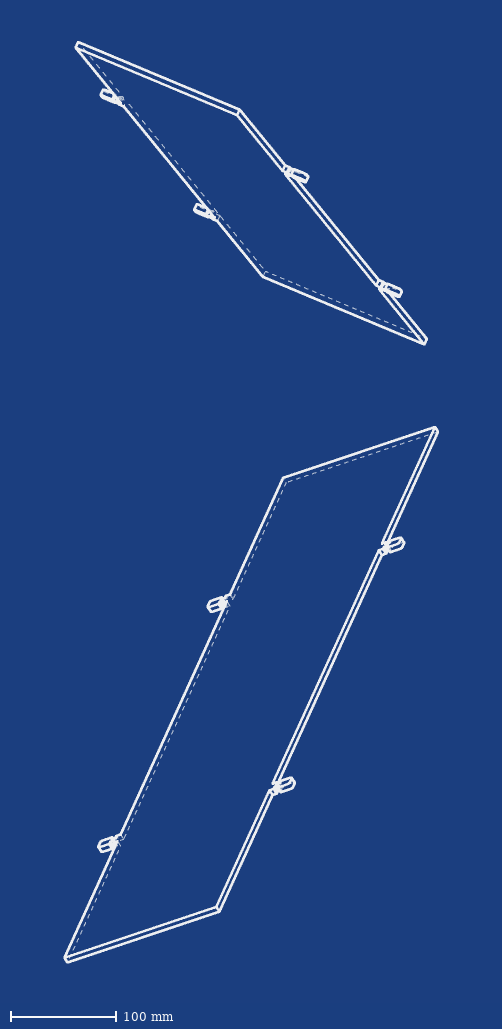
import cadquery as cq

plate_width = 176.0
plate_length = 776.0
plate_thickness = 6.0
tilt_angle = 28.0

overall_width = 222.0
tab_reach = (overall_width - plate_width) / 2
tab_width = 11.0
root_length = 5.0
neck_length = 5.0
neck_width = 4.0
head_corner_radius = 3.0
tab_offset = plate_length / 4


def make_plate():
    return cq.Workplane("XY").box(plate_width, plate_thickness, plate_length)


def make_tab(side, height):
    """Root, narrow neck and head with rounded outer corners, pointing along X on the given side."""
    edge = plate_width / 2

    def block(start, end, width):
        return (
            cq.Workplane("XY")
            .box(end - start, plate_thickness, width)
            .translate((side * (edge + (start + end) / 2), 0, height))
        )

    head_start = root_length + neck_length
    root = block(-root_length, root_length, tab_width)
    neck = block(root_length, head_start, neck_width)
    head = block(head_start, tab_reach, tab_width)
    outer_face = ">X" if side > 0 else "<X"
    head = head.faces(outer_face).edges("|Y").fillet(head_corner_radius)
    return root.union(neck).union(head)


result = make_plate()
for side in (-1, 1):
    for height in (-tab_offset, tab_offset):
        result = result.union(make_tab(side, height))

result = result.rotate((0, 0, 0), (1, 0, 0), tilt_angle)